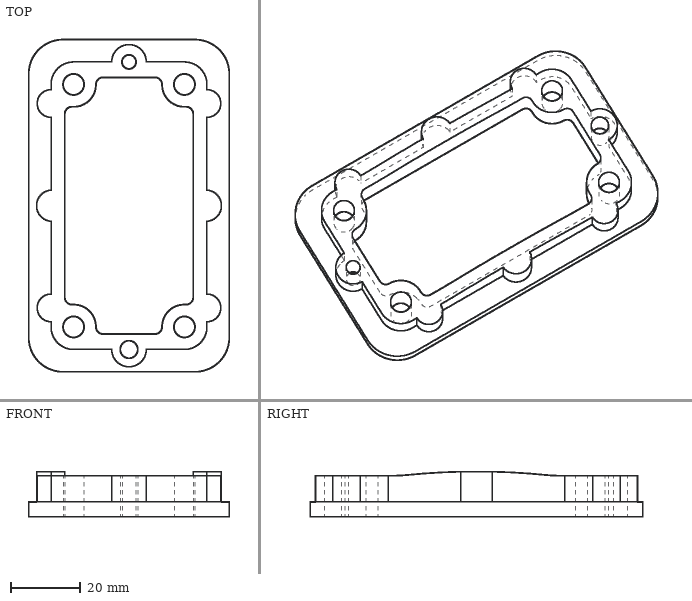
import cadquery as cq
import math

FLANGE_WIDTH = 58.0
FLANGE_LENGTH = 96.0
FLANGE_THICKNESS = 4.3
FLANGE_CORNER_RADIUS = 10.0

WALL_HALF_WIDTH = 22.5
WALL_HALF_LENGTH = 41.5
WALL_TOP = 11.9

POST_RADIUS = 6.5
POST_X = WALL_HALF_WIDTH - POST_RADIUS
POST_Y = WALL_HALF_LENGTH - POST_RADIUS
POST_HOLE_DIAMETER = 6.0

WINDOW_HALF_WIDTH = 18.5
WINDOW_HALF_LENGTH = 37.0
WINDOW_FILLET_RADIUS = 2.0

END_BOSS_RADIUS = 5.0
BACK_HOLE_DIAMETER = 4.0
FRONT_HOLE_DIAMETER = 5.0

CORNER_LUG_RADIUS = 4.0
CORNER_LUG_Y = 29.5
MIDDLE_LUG_RADIUS = 4.5
MIDDLE_LUG_X = 22.2

CROWN_FLAT_HALF_LENGTH = 5.0
CROWN_BLEND_START = 20.0
CROWN_HALF_LENGTH = 24.0
CROWN_RADIUS = 200.0

CROWN_END_SLOPE = math.asin(CROWN_BLEND_START / CROWN_RADIUS)
BLEND_RADIUS = (CROWN_HALF_LENGTH - CROWN_BLEND_START) / math.sin(CROWN_END_SLOPE)
BLEND_RISE = BLEND_RADIUS * (1 - math.cos(CROWN_END_SLOPE))
CROWN_CENTRE_Z = WALL_TOP + BLEND_RISE - CROWN_RADIUS * math.cos(CROWN_END_SLOPE)
CROWN_TOP = CROWN_CENTRE_Z + math.sqrt(CROWN_RADIUS**2 - CROWN_FLAT_HALF_LENGTH**2)


def rounded_block(width, length, height, corner_radius):
    """Block centred on the Z axis, standing on Z = 0, with rounded vertical edges."""
    block = cq.Workplane("XY").box(width, length, height, centered=(True, True, False))
    return block.edges("|Z").fillet(corner_radius)


def cylinders(points, radius, height):
    """Upright cylinders standing on Z = 0."""
    return cq.Workplane("XY").pushPoints(points).circle(radius).extrude(height)


def post_points():
    return [(sx * POST_X, sy * POST_Y) for sx in (-1, 1) for sy in (-1, 1)]


def wall_blank():
    """Solid wall outline with its end bosses and side lugs, up to the crown height."""
    wall = rounded_block(2 * WALL_HALF_WIDTH, 2 * WALL_HALF_LENGTH, CROWN_TOP, POST_RADIUS)
    end_points = [(0, sy * WALL_HALF_LENGTH) for sy in (-1, 1)]
    middle_points = [(sx * MIDDLE_LUG_X, 0) for sx in (-1, 1)]
    corner_points = [(sx * WALL_HALF_WIDTH, sy * CORNER_LUG_Y) for sx in (-1, 1) for sy in (-1, 1)]
    wall = wall.union(cylinders(end_points, END_BOSS_RADIUS, CROWN_TOP))
    wall = wall.union(cylinders(middle_points, MIDDLE_LUG_RADIUS, CROWN_TOP))
    return wall.union(cylinders(corner_points, CORNER_LUG_RADIUS, CROWN_TOP))


def crown_point(y):
    """Point (Y, Z) on the convex crown arc."""
    return (y, CROWN_CENTRE_Z + math.sqrt(CROWN_RADIUS**2 - y**2))


def blend_point(y):
    """Point (Y, Z) on the concave blend between the crown and the wall top."""
    drop = math.sqrt(BLEND_RADIUS**2 - (CROWN_HALF_LENGTH - abs(y)) ** 2)
    return (y, WALL_TOP + BLEND_RADIUS - drop)


def crown_envelope():
    """Everything below the top profile of the wall, swept across the full width."""
    half_length = FLANGE_LENGTH / 2
    blend_middle = (CROWN_BLEND_START + CROWN_HALF_LENGTH) / 2
    crown_middle = (CROWN_FLAT_HALF_LENGTH + CROWN_BLEND_START) / 2
    profile = (
        cq.Workplane("YZ")
        .moveTo(-half_length, 0)
        .lineTo(-half_length, WALL_TOP)
        .lineTo(-CROWN_HALF_LENGTH, WALL_TOP)
        .threePointArc(blend_point(-blend_middle), blend_point(-CROWN_BLEND_START))
        .threePointArc(crown_point(-crown_middle), crown_point(-CROWN_FLAT_HALF_LENGTH))
        .lineTo(CROWN_FLAT_HALF_LENGTH, CROWN_TOP)
        .threePointArc(crown_point(crown_middle), crown_point(CROWN_BLEND_START))
        .threePointArc(blend_point(blend_middle), (CROWN_HALF_LENGTH, WALL_TOP))
        .lineTo(half_length, WALL_TOP)
        .lineTo(half_length, 0)
        .close()
    )
    return profile.extrude(FLANGE_WIDTH / 2, both=True)


def window():
    """Through opening that curves around the screw posts, with blended corners."""
    opening = cq.Workplane("XY").rect(2 * WINDOW_HALF_WIDTH, 2 * WINDOW_HALF_LENGTH).extrude(CROWN_TOP)
    opening = opening.cut(cylinders(post_points(), POST_RADIUS, CROWN_TOP))
    return opening.edges("|Z").fillet(WINDOW_FILLET_RADIUS)


flange = rounded_block(FLANGE_WIDTH, FLANGE_LENGTH, FLANGE_THICKNESS, FLANGE_CORNER_RADIUS)
body = flange.union(wall_blank().intersect(crown_envelope()))
back_hole = cylinders([(0, WALL_HALF_LENGTH)], BACK_HOLE_DIAMETER / 2, CROWN_TOP)
front_hole = cylinders([(0, -WALL_HALF_LENGTH)], FRONT_HOLE_DIAMETER / 2, CROWN_TOP)
post_holes = cylinders(post_points(), POST_HOLE_DIAMETER / 2, CROWN_TOP)

result = body.cut(window()).cut(post_holes).cut(back_hole).cut(front_hole)